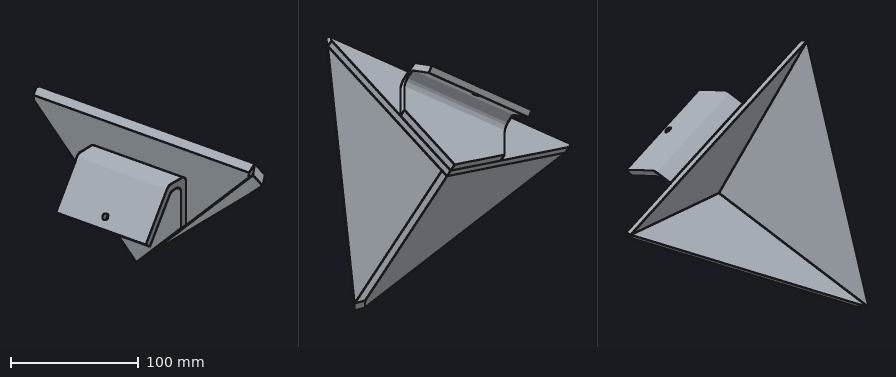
import cadquery as cq
import math

half_width = 108.0
height = 117.0
outer_corner = 106.0
wing_length = 152.6
tip_undercut = 18.4

valley_height = height - half_width
wall = valley_height / math.sqrt(2)
lap = valley_height / 2

plate_thickness = 6.0
tip_y = plate_thickness + wing_length

hook_width = 89.2
hook_thickness = 6.5
bend_radius = 6.5
hook_top = 89.0
hook_bend_y = -22.9
hook_reach = 51.5
flange_angle = 54.5
hole_diameter = 5.2
hole_from_end = 10.0

cutter_size = 647.7


def extrude_along_y(points, y_start, y_end):
    """Prism with an XZ outline between two Y positions."""
    plane = cq.Workplane("XZ", origin=(0, y_start, 0))
    return plane.polyline(points).close().extrude(y_start - y_end)


def half_space(origin, normal):
    """Large block filling the side of a plane that its normal points to."""
    plane = cq.Plane(origin=origin, xDir=normal.cross(cq.Vector(1, 2, 3)), normal=normal)
    return cq.Workplane(plane).rect(cutter_size, cutter_size).extrude(cutter_size)


def make_wing(profile, side):
    """Wing wall cut to a triangle along its bevelled upper edge and at the tip."""
    top = cq.Vector(side * half_width, plate_thickness, height)
    tip = cq.Vector(0, tip_y, valley_height)
    corner = cq.Vector(side * outer_corner, plate_thickness, outer_corner)
    bevel_normal = (corner - top).cross(tip - top) * side
    tip_normal = cq.Vector(0, valley_height, -tip_undercut)
    wing = extrude_along_y(profile, plate_thickness, tip_y)
    return wing.cut(half_space(top, bevel_normal)).cut(half_space(tip, tip_normal))


def make_right_wing():
    """Wing on +X, whose lower end covers the end of the left wing."""
    profile = [
        (0, 0),
        (outer_corner, outer_corner),
        (half_width, height),
        (-lap, lap),
    ]
    return make_wing(profile, 1)


def make_left_wing():
    """Wing on -X, butting against the inner face of the right wing."""
    profile = [
        (0, valley_height),
        (-lap, lap),
        (-outer_corner, outer_corner),
        (-half_width, height),
    ]
    return make_wing(profile, -1)


def make_back_plate():
    """Triangular plate closing the trough, with a 45 degree bevel along its top."""
    outline = [
        (0, 0),
        (outer_corner, outer_corner),
        (half_width, height),
        (-half_width, height),
        (-outer_corner, outer_corner),
    ]
    plate = extrude_along_y(outline, 0, plate_thickness)
    bevel_edge = cq.Vector(0, plate_thickness, height)
    return plate.cut(half_space(bevel_edge, cq.Vector(0, -1, 1)))


def make_hook():
    """Bent sheet hook whose upright leg is trimmed to the V below."""
    angle = math.radians(flange_angle)
    run = math.cos(angle)
    fall = math.sin(angle)
    flange_length = (hook_reach + hook_bend_y) / run
    end_y = -hook_reach
    end_z = hook_top - flange_length * fall
    inner_top = hook_top - hook_thickness
    inner_bend_y = hook_bend_y + hook_thickness * math.tan(angle / 2)
    outline = [
        (0, 0),
        (0, hook_top),
        (hook_bend_y, hook_top),
        (end_y, end_z),
        (end_y + hook_thickness * fall, end_z - hook_thickness * run),
        (inner_bend_y, inner_top),
        (-hook_thickness, inner_top),
        (-hook_thickness, 0),
    ]
    hook = (
        cq.Workplane("YZ")
        .polyline(outline)
        .close()
        .extrude(hook_width / 2, both=True)
    )
    bends = [outline[1], outline[2], outline[5], outline[6]]
    for y, z in bends:
        hook = hook.edges(cq.selectors.NearestToPointSelector((0, y, z))).fillet(bend_radius)

    for side in (-1, 1):
        hook = hook.cut(half_space(cq.Vector(0, 0, 0), cq.Vector(side, 0, -1)))

    hole_start = cq.Vector(0, end_y + hole_from_end * run, end_z + hole_from_end * fall)
    inward = cq.Vector(0, fall, -run)
    hole = cq.Solid.makeCylinder(hole_diameter / 2, hook_thickness, hole_start, inward)
    return hook.cut(cq.Workplane(hole))


right_wing = make_right_wing()
left_wing = make_left_wing()
back_plate = make_back_plate()
hook = make_hook()

result = cq.Compound.makeCompound([
    right_wing.solids().val(),
    left_wing.solids().val(),
    back_plate.solids().val(),
    hook.solids().val(),
])